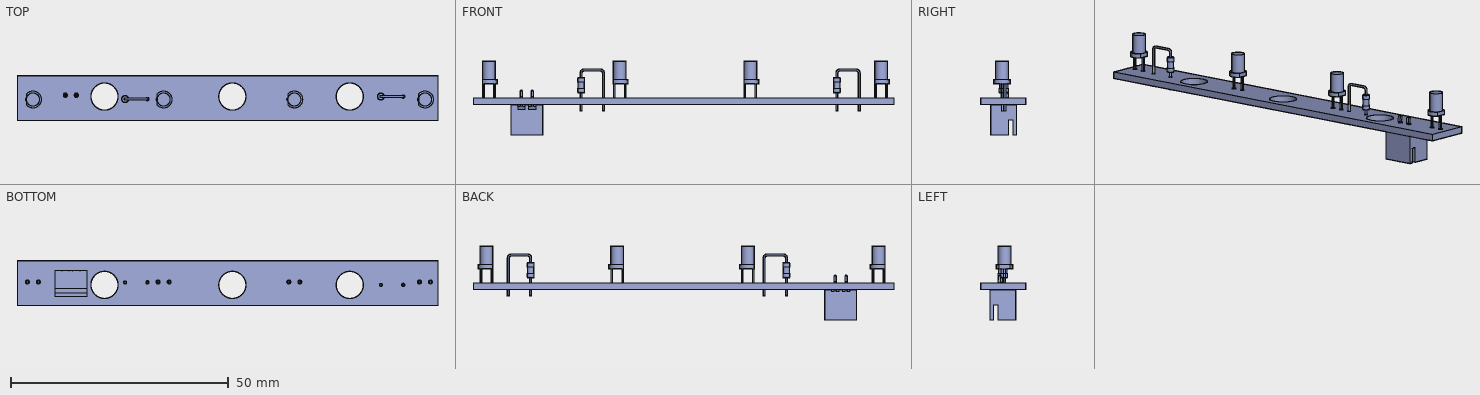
import cadquery as cq

BOARD_LENGTH = 96.55
BOARD_WIDTH = 10.3
BOARD_THICKNESS = 1.5
WINDOW_DIAMETER = 6.2
WINDOW_Y = 0.4
WINDOW_X_POSITIONS = [-28.3, 1.1, 28.0]

LED_COUNT = 4
LED_FIRST_X = -44.7
LED_LAST_X = 45.3
LED_Y = -0.3
LED_TOP_Z = 9.9
LED_HEIGHT = 5.2
LED_DIAMETER = 3.0
LED_FLANGE_DIAMETER = 3.9
LED_FLANGE_HEIGHT = 1.0
LED_LEAD_PITCH = 2.5
LED_LEAD_SIDE = 0.4
LED_HOLE_DIAMETER = 0.9

RESISTOR_PLACES = [(-23.6, -0.2), (35.1, 0.4)]
RESISTOR_LEAD_SPAN = 5.1
RESISTOR_WIRE_DIAMETER = 0.5
RESISTOR_HOLE_DIAMETER = 0.7
RESISTOR_WIRE_BOTTOM_Z = -1.4
RESISTOR_WIRE_TOP_Z = 7.9
RESISTOR_BEND_RADIUS = 0.7
RESISTOR_BODY_BOTTOM_Z = 2.7
RESISTOR_BODY_LENGTH = 3.5
RESISTOR_CAP_LENGTH = 1.0
RESISTOR_CAP_DIAMETER = 1.6
RESISTOR_WAIST_DIAMETER = 1.4
RESISTOR_CAP_FILLET = 0.3

CONNECTOR_X = -36.0
CONNECTOR_Y = 0.1
CONNECTOR_LENGTH = 7.3
CONNECTOR_WIDTH = 6.0
CONNECTOR_HEIGHT = 6.95
CONNECTOR_GAP = 0.1
CHANNEL_WIDTH = 1.6
CHANNEL_REAR_DEPTH = 0.3
CHANNEL_FRONT_DEPTH = 1.1
SLOT_WALL = 0.9
SLOT_WIDTH = 1.0
SLOT_HEIGHT = 3.5
PIN_PITCH = 2.5
PIN_Y = 0.7
PIN_SIDE = 0.6
PIN_TOP_Z = 3.3
PIN_TIP_CHAMFER = 0.2
PIN_KINK_RISE = 0.3
PIN_KINK_OFFSET = 0.3
PIN_TIP_OFFSET = 0.1
PIN_HOLE_DIAMETER = 1.0

LED_PITCH = (LED_LAST_X - LED_FIRST_X) / (LED_COUNT - 1)
LED_X_POSITIONS = [LED_FIRST_X + i * LED_PITCH for i in range(LED_COUNT)]
LED_LEAD_OFFSETS = [-LED_LEAD_PITCH / 2, LED_LEAD_PITCH / 2]
PIN_X_POSITIONS = [CONNECTOR_X - PIN_PITCH / 2, CONNECTOR_X + PIN_PITCH / 2]


def rod(x, y, bottom_z, diameter, height):
    """Upright cylinder standing on bottom_z."""
    return cq.Workplane("XY", origin=(x, y, bottom_z)).circle(diameter / 2).extrude(height)


def block(x, y, bottom_z, length, width, height):
    """Upright box centred on (x, y) and standing on bottom_z."""
    return cq.Workplane("XY", origin=(x, y, bottom_z)).rect(length, width).extrude(height)


def make_board():
    board = block(0, 0, 0, BOARD_LENGTH, BOARD_WIDTH, BOARD_THICKNESS)
    windows = [(x, WINDOW_Y, WINDOW_DIAMETER) for x in WINDOW_X_POSITIONS]
    led_holes = [
        (x + offset, LED_Y, LED_HOLE_DIAMETER) for x in LED_X_POSITIONS for offset in LED_LEAD_OFFSETS
    ]
    resistor_holes = [
        (x + offset, y, RESISTOR_HOLE_DIAMETER)
        for x, y in RESISTOR_PLACES
        for offset in (0, RESISTOR_LEAD_SPAN)
    ]
    pin_holes = [(x, PIN_Y, PIN_HOLE_DIAMETER) for x in PIN_X_POSITIONS]
    for x, y, diameter in windows + led_holes + resistor_holes + pin_holes:
        board = board.cut(rod(x, y, 0, diameter, BOARD_THICKNESS))
    return board


def make_led(x):
    base_z = LED_TOP_Z - LED_HEIGHT
    flange = rod(x, LED_Y, base_z, LED_FLANGE_DIAMETER, LED_FLANGE_HEIGHT)
    flat_cutter = block(
        x - LED_DIAMETER / 2 - LED_FLANGE_DIAMETER / 2,
        LED_Y,
        base_z,
        LED_FLANGE_DIAMETER,
        LED_FLANGE_DIAMETER,
        LED_FLANGE_HEIGHT,
    )
    led = flange.cut(flat_cutter).union(rod(x, LED_Y, base_z, LED_DIAMETER, LED_HEIGHT))
    for offset in LED_LEAD_OFFSETS:
        led = led.union(block(x + offset, LED_Y, 0, LED_LEAD_SIDE, LED_LEAD_SIDE, base_z))
    return led


def make_resistor(x, y):
    far_x = x + RESISTOR_LEAD_SPAN
    bend_z = RESISTOR_WIRE_TOP_Z - RESISTOR_BEND_RADIUS
    wire_path = (
        cq.Workplane("XZ", origin=(0, y, 0))
        .moveTo(x, RESISTOR_WIRE_BOTTOM_Z)
        .lineTo(x, bend_z)
        .radiusArc((x + RESISTOR_BEND_RADIUS, RESISTOR_WIRE_TOP_Z), RESISTOR_BEND_RADIUS)
        .lineTo(far_x - RESISTOR_BEND_RADIUS, RESISTOR_WIRE_TOP_Z)
        .radiusArc((far_x, bend_z), RESISTOR_BEND_RADIUS)
        .lineTo(far_x, RESISTOR_WIRE_BOTTOM_Z)
    )
    wire_start = cq.Workplane("XY", origin=(x, y, RESISTOR_WIRE_BOTTOM_Z))
    resistor = wire_start.circle(RESISTOR_WIRE_DIAMETER / 2).sweep(wire_path)

    upper_cap_z = RESISTOR_BODY_BOTTOM_Z + RESISTOR_BODY_LENGTH - RESISTOR_CAP_LENGTH
    waist = rod(x, y, RESISTOR_BODY_BOTTOM_Z, RESISTOR_WAIST_DIAMETER, RESISTOR_BODY_LENGTH)
    resistor = resistor.union(waist)
    for cap_z, outer_rim in ((RESISTOR_BODY_BOTTOM_Z, "<Z"), (upper_cap_z, ">Z")):
        cap = rod(x, y, cap_z, RESISTOR_CAP_DIAMETER, RESISTOR_CAP_LENGTH)
        resistor = resistor.union(cap.faces(outer_rim).edges().fillet(RESISTOR_CAP_FILLET))
    return resistor


def extrude_side_profile(x, width, points):
    """Solid with a (Y, Z) outline, centred on x and width wide."""
    return cq.Workplane("YZ", origin=(x, 0, 0)).polyline(points).close().extrude(width / 2, both=True)


def make_channel(x, front_y, back_y, top_z):
    """Cutter for a channel along Y whose floor is level behind the pin and slopes down to the front."""
    rear_floor_z = top_z - CHANNEL_REAR_DEPTH
    outline = [
        (front_y, top_z),
        (front_y, top_z - CHANNEL_FRONT_DEPTH),
        (PIN_Y - PIN_SIDE / 2, rear_floor_z),
        (back_y, rear_floor_z),
        (back_y, top_z),
    ]
    return extrude_side_profile(x, CHANNEL_WIDTH, outline)


def make_pin(x, top_z):
    """Square pin that kinks toward +Y above the board and leans back toward its tip."""
    centre_line = [
        (PIN_Y, top_z - CHANNEL_FRONT_DEPTH),
        (PIN_Y, BOARD_THICKNESS),
        (PIN_Y + PIN_KINK_OFFSET, BOARD_THICKNESS + PIN_KINK_RISE),
        (PIN_Y + PIN_TIP_OFFSET, PIN_TOP_Z),
    ]
    front_side = [(y - PIN_SIDE / 2, z) for y, z in centre_line]
    back_side = [(y + PIN_SIDE / 2, z) for y, z in reversed(centre_line)]
    pin = extrude_side_profile(x, PIN_SIDE, front_side + back_side)
    return pin.faces(">Z").chamfer(PIN_TIP_CHAMFER)


def make_connector():
    top_z = -CONNECTOR_GAP
    bottom_z = top_z - CONNECTOR_HEIGHT
    front_y = CONNECTOR_Y - CONNECTOR_WIDTH / 2
    back_y = CONNECTOR_Y + CONNECTOR_WIDTH / 2
    connector = block(CONNECTOR_X, CONNECTOR_Y, bottom_z, CONNECTOR_LENGTH, CONNECTOR_WIDTH, CONNECTOR_HEIGHT)

    slot_y = back_y - SLOT_WALL - SLOT_WIDTH / 2
    connector = connector.cut(block(CONNECTOR_X, slot_y, bottom_z, CONNECTOR_LENGTH, SLOT_WIDTH, SLOT_HEIGHT))

    for x in PIN_X_POSITIONS:
        connector = connector.cut(make_channel(x, front_y, back_y, top_z)).union(make_pin(x, top_z))
    return connector


board = make_board()
leds = [make_led(x) for x in LED_X_POSITIONS]
resistors = [make_resistor(x, y) for x, y in RESISTOR_PLACES]
connector = make_connector()

result = cq.Compound.makeCompound(
    [board.val(), *[led.val() for led in leds], *[resistor.val() for resistor in resistors], connector.val()]
)